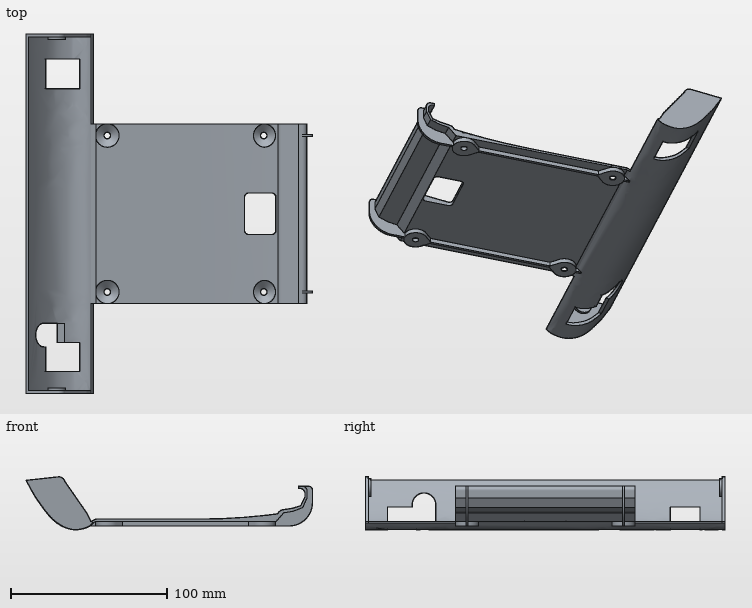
import math

import cadquery as cq

BAR_LENGTH = 230.0
PLATE_WIDTH = 115.0

END_WALL = 2.0
FRONT_TIP = (0.0, 31.7)
OUTER_CURVE = [(5.75, 21.4), (11.75, 12.8), (18.45, 5.4), (24.85, 1.5), (30.85, 0.01), (37.35, 0.9)]
RIM_OUTER = (43.1, 4.5)
RIM_INNER = (41.6, 5.4)
INNER_TIP = (1.6, 32.0)
INNER_CURVE = [(7.1, 22.3), (13.1, 14.0), (19.7, 7.1), (25.9, 3.6), (30.9, 2.1), (36.6, 2.7)]
FRONT_TANGENT = (0.45, -0.89)
RIM_TANGENT = (0.6, 0.8)
CHEEK_KNEE = (38.75, 11.0)
CHEEK_SHOULDER = (24.95, 30.9)
CHEEK_SHOULDER_MID = (23.65, 32.9)
CHEEK_TOP = (21.15, 33.99)
OPENING_REACH = 40.0

PAD_DIAMETER = 11.4
PAD_HEIGHT = 1.5
PAD_X = 19.65
PAD_Z = 27.0

WINDOW_RIGHT_X = 34.25
WINDOW_TOP_Z = 14.5
CUT_MARGIN = 1.0
WINDOW_Y_RANGES = [(80.0, 98.8), (-100.8, -82.3)]
SLOT_RADIUS = 7.5
SLOT_Y = -77.5
SLOT_FLOOR_Z = 4.2
SLOT_CENTRE_Z = 16.0
SLOT_REACH_X = 30.0

PLATE_BOTTOM_Z = 5.4
PLATE_TOP_Z = 7.0
PLATE_START_X = 44.75
RAMP_START_X = 112.35
RAMP_RADIUS = 353.0
STEP_START_X = 161.0
STEP_MID = (162.2, 12.0)
STEP_TOP = (164.1, 12.9)
SHELF_END = (170.6, 13.9)
HOOK_ROOT = (175.6, 15.5)
HOOK_BEND = (178.2, 20.8)
HOOK_NECK = (178.2, 24.0)
HOOK_NECK_MID = (177.2, 25.6)
HOOK_TIP_LOWER = (174.2, 26.4)
HOOK_TIP_UPPER = (174.2, 27.9)
HOOK_CROWN = (176.9, 27.9)
HOOK_CROWN_MID = (178.9, 26.9)
HOOK_BACK_TOP = (179.6, 25.0)
HOOK_BACK_BOTTOM = (179.6, 20.3)
HOOK_HEEL = (176.9, 14.3)
SHELF_UNDERSIDE = [(170.8, 11.9), (164.8, 10.9)]
STEP_FOOT = (159.9, PLATE_BOTTOM_Z)

PLATE_WINDOW_X = (139.8, 159.6)
PLATE_WINDOW_WIDTH = 26.4
PLATE_WINDOW_RADIUS = 2.5

SCREW_X = (52.0, 152.0)
SCREW_Y = (-50.0, 50.0)
SEAT_BOTTOM_Z = 2.4
SEAT_RADIUS = 7.5
SCREW_HOLE_RADIUS = 2.0
SEAT_DEPTH = 3.9

RIB_WIDTH = 1.5
RIB_START_X = 39.5
RIB_END_X = 183.19
RIB_HEEL_RADIUS = 15.0
RIB_SHOULDER_RADIUS = 2.5


def slab(outline, y_low, y_high):
    """Extrude a closed XZ outline between two Y positions."""
    return outline.extrude(-(y_high - y_low)).translate((0, y_low, 0))


def along(point, direction, distance):
    return (point[0] + direction[0] * distance, point[1] + direction[1] * distance)


def trough_curve(tip, points, rim):
    """One skin of the bar, from the front tip round the bottom to the rim."""
    return (
        cq.Workplane("XZ")
        .moveTo(*tip)
        .spline(points + [rim], tangents=[FRONT_TANGENT, RIM_TANGENT], includeCurrent=True)
    )


def make_bar():
    end_outline = (
        trough_curve(FRONT_TIP, OUTER_CURVE, RIM_OUTER)
        .lineTo(*RIM_INNER)
        .lineTo(*CHEEK_KNEE)
        .lineTo(*CHEEK_SHOULDER)
        .threePointArc(CHEEK_SHOULDER_MID, CHEEK_TOP)
        .close()
    )
    cavity_outline = (
        trough_curve(INNER_TIP, INNER_CURVE, RIM_INNER)
        .lineTo(*along(RIM_INNER, RIM_TANGENT, OPENING_REACH))
        .lineTo(*along(INNER_TIP, FRONT_TANGENT, -OPENING_REACH))
        .close()
    )
    half = BAR_LENGTH / 2
    bar = slab(end_outline, -half, half)
    return bar.cut(slab(cavity_outline, END_WALL - half, half - END_WALL))


def make_pads():
    inner_face = BAR_LENGTH / 2 - END_WALL
    pad = slab(
        cq.Workplane("XZ").center(PAD_X, PAD_Z).circle(PAD_DIAMETER / 2),
        inner_face - PAD_HEIGHT,
        inner_face + END_WALL / 2,
    )
    return pad.union(pad.mirror("XZ"))


def plate_surface_z(x):
    """Height of the plate top: flat, then a ramp that leaves the flat tangentially."""
    ramp_run = max(0.0, x - RAMP_START_X)
    return PLATE_TOP_Z + RAMP_RADIUS - math.sqrt(RAMP_RADIUS**2 - ramp_run**2)


def make_plate():
    outline = (
        cq.Workplane("XZ")
        .moveTo(*RIM_OUTER)
        .lineTo(*RIM_INNER)
        .lineTo(PLATE_START_X, PLATE_TOP_Z)
        .lineTo(RAMP_START_X, PLATE_TOP_Z)
        .radiusArc((STEP_START_X, plate_surface_z(STEP_START_X)), -RAMP_RADIUS)
        .threePointArc(STEP_MID, STEP_TOP)
        .lineTo(*SHELF_END)
        .lineTo(*HOOK_ROOT)
        .lineTo(*HOOK_BEND)
        .lineTo(*HOOK_NECK)
        .threePointArc(HOOK_NECK_MID, HOOK_TIP_LOWER)
        .lineTo(*HOOK_TIP_UPPER)
        .lineTo(*HOOK_CROWN)
        .threePointArc(HOOK_CROWN_MID, HOOK_BACK_TOP)
        .lineTo(*HOOK_BACK_BOTTOM)
        .lineTo(*HOOK_HEEL)
        .polyline(SHELF_UNDERSIDE + [STEP_FOOT], includeCurrent=True)
        .lineTo(PLATE_START_X, PLATE_BOTTOM_Z)
        .close()
    )
    return slab(outline, -PLATE_WIDTH / 2, PLATE_WIDTH / 2)


def make_rib(y):
    outline = (
        cq.Workplane("XZ")
        .moveTo(RIB_START_X, SEAT_BOTTOM_Z)
        .lineTo(RIB_END_X - RIB_HEEL_RADIUS, SEAT_BOTTOM_Z)
        .radiusArc((RIB_END_X, SEAT_BOTTOM_Z + RIB_HEEL_RADIUS), -RIB_HEEL_RADIUS)
        .lineTo(RIB_END_X, HOOK_CROWN[1] - RIB_SHOULDER_RADIUS)
        .radiusArc((RIB_END_X - RIB_SHOULDER_RADIUS, HOOK_CROWN[1]), -RIB_SHOULDER_RADIUS)
        .lineTo(*HOOK_CROWN)
        .threePointArc(HOOK_CROWN_MID, HOOK_BACK_TOP)
        .lineTo(*HOOK_BACK_BOTTOM)
        .lineTo(*HOOK_HEEL)
        .polyline(SHELF_UNDERSIDE + [STEP_FOOT], includeCurrent=True)
        .lineTo(PLATE_START_X, PLATE_BOTTOM_Z)
        .lineTo(*RIM_OUTER)
        .close()
    )
    return slab(outline, y - RIB_WIDTH / 2, y + RIB_WIDTH / 2)


def make_seat_boss(x, y):
    """Round boss with a pointed flank that runs into the rib towards the middle of the plate."""
    inward = math.copysign(1, sum(SCREW_X) / 2 - x)
    tangent = SEAT_RADIUS * math.sqrt(0.5)
    height = (PLATE_BOTTOM_Z + PLATE_TOP_Z) / 2 - SEAT_BOTTOM_Z
    diamond = [(0, 0), (inward * tangent, tangent), (2 * inward * tangent, 0), (inward * tangent, -tangent)]
    boss = cq.Workplane("XY").circle(SEAT_RADIUS).extrude(height)
    flank = cq.Workplane("XY").polyline(diamond).close().extrude(height)
    return boss.union(flank).translate((x, y, SEAT_BOTTOM_Z))


def make_countersink(x, y):
    """Conical seat that opens to the full boss radius at the plate top, with a through hole."""
    top_z = plate_surface_z(x)
    clear_z = top_z + CUT_MARGIN
    return (
        cq.Workplane("XZ", origin=(x, y, 0))
        .lineTo(SCREW_HOLE_RADIUS, 0)
        .lineTo(SCREW_HOLE_RADIUS, top_z - SEAT_DEPTH)
        .lineTo(SEAT_RADIUS, top_z)
        .lineTo(SEAT_RADIUS, clear_z)
        .lineTo(0, clear_z)
        .close()
        .revolve(360, (0, 0, 0), (0, 1, 0))
    )


def make_plate_window():
    x_low, x_high = PLATE_WINDOW_X
    return (
        cq.Workplane("XY")
        .center((x_low + x_high) / 2, 0)
        .rect(x_high - x_low, PLATE_WINDOW_WIDTH)
        .extrude(2 * PLATE_TOP_Z)
        .edges("|Z")
        .fillet(PLATE_WINDOW_RADIUS)
    )


def make_bar_window(y_low, y_high):
    height = WINDOW_TOP_Z + CUT_MARGIN
    block = cq.Workplane("XY").box(WINDOW_RIGHT_X, y_high - y_low, height, centered=False)
    return block.translate((0, y_low, -CUT_MARGIN))


def make_bar_slot():
    """Arched opening, cut level through the front of the bar."""
    return (
        cq.Workplane("YZ")
        .moveTo(SLOT_Y - SLOT_RADIUS, SLOT_FLOOR_Z)
        .lineTo(SLOT_Y + SLOT_RADIUS, SLOT_FLOOR_Z)
        .lineTo(SLOT_Y + SLOT_RADIUS, SLOT_CENTRE_Z)
        .threePointArc(
            (SLOT_Y, SLOT_CENTRE_Z + SLOT_RADIUS),
            (SLOT_Y - SLOT_RADIUS, SLOT_CENTRE_Z),
        )
        .close()
        .extrude(SLOT_REACH_X)
    )


def make_part():
    screws = [(x, y) for x in SCREW_X for y in SCREW_Y]
    part = make_bar().union(make_pads()).union(make_plate())
    for y in SCREW_Y:
        part = part.union(make_rib(y))
    for x, y in screws:
        part = part.union(make_seat_boss(x, y))
    for x, y in screws:
        part = part.cut(make_countersink(x, y))
    for y_low, y_high in WINDOW_Y_RANGES:
        part = part.cut(make_bar_window(y_low, y_high))
    return part.cut(make_bar_slot()).cut(make_plate_window())


result = make_part()